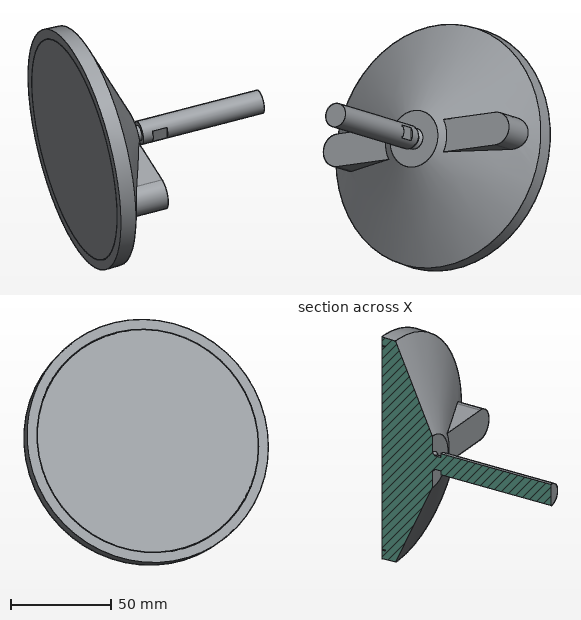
import cadquery as cq

foot_diameter = 124.0
overall_length = 100.0

rim_height = 8.2
rim_draft = 0.2
cone_end = 29.9
cone_top_diameter = 28.8

groove_outer_diameter = 114.0
groove_inner_diameter = 113.5
groove_depth = 2.0

bar_length = 111.8
bar_width = 16.6
bar_end = 28.0

collar_diameter = 10.7
collar_end = 31.4
neck_diameter = 7.8
rod_start = 34.8
rod_diameter = 12.0

flat_start = 40.0
flat_length = 7.8
across_flats = 10.0


def plane_at(y):
    """Plane across the axis at height y, with its normal along +Y."""
    return cq.Workplane(cq.Plane(origin=(0, y, 0), xDir=(1, 0, 0), normal=(0, 1, 0)))


def make_foot_and_stem():
    """Revolve the foot, collar, neck and rod as one profile of (radius, height)."""
    rim_radius = foot_diameter / 2
    profile = [
        (0, 0),
        (rim_radius, 0),
        (rim_radius - rim_draft, rim_height),
        (cone_top_diameter / 2, cone_end),
        (collar_diameter / 2, cone_end),
        (neck_diameter / 2, collar_end),
        (neck_diameter / 2, rod_start),
        (rod_diameter / 2, rod_start),
        (rod_diameter / 2, overall_length),
        (0, overall_length),
    ]
    return cq.Workplane("XY").polyline(profile).close().revolve(360, (0, 0, 0), (0, 1, 0))


def make_bar():
    """Round-ended bar that rises out of both sides of the cone."""
    return plane_at(rim_height).slot2D(bar_length, bar_width).extrude(bar_end - rim_height)


def make_groove():
    """Thin ring that separates the pad from the rim."""
    ring = plane_at(0).circle(groove_outer_diameter / 2).circle(groove_inner_diameter / 2)
    return ring.extrude(groove_depth)


def make_flat_cutters():
    """Blocks that leave the across-flats width on the two X sides of the rod."""
    block_centres = [(side * (across_flats + rod_diameter) / 2, 0) for side in (-1, 1)]
    blocks = plane_at(flat_start).pushPoints(block_centres).rect(rod_diameter, rod_diameter)
    return blocks.extrude(flat_length)


result = make_foot_and_stem().union(make_bar()).cut(make_groove()).cut(make_flat_cutters())